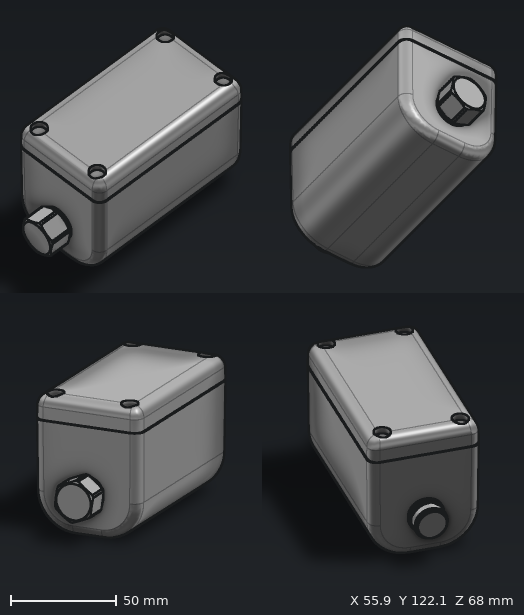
import cadquery as cq
import math

overall_length = 122.1
width = 55.9
length = 98.0
height = 68.0
seam_height = 55.4
body_draft = 0.6
lid_draft = 1.0
belly_radius = 20.0
corner_radius = 5.0
top_edge_radius = 6.0
seam_groove = 0.2
seam_groove_depth = 0.2

recess_diameter = 8.2
recess_depth = 3.5
recess_x = 19.5
recess_y = 42.1

fitting_height = 22.0
front_reach = 14.2
back_reach = overall_length - length - front_reach
collar_radius = 8.9
embed = 2.5

nut_length = 13.1
nut_across_flats = 19.0
nut_corner_radius = 10.6
nut_face_radius = 9.0
nut_chamfer = 0.7
nut_back_chamfer = 1.1
nut_turn = 8.0
gland_collar_length = 0.4
gland_neck_radius = 8.5

plug_collar_length = 1.3
plug_collar_chamfer = 0.4
plug_neck_radius = 7.6
plug_ring_radius = 8.3
plug_ring_start = 2.5
plug_ring_end = 8.8
plug_ring_chamfer = 0.6
plug_tip_chamfer = 0.4


def inset(rise, draft):
    """Sideways shift of a drafted wall over a given rise."""
    return rise * math.tan(math.radians(draft))


def make_body():
    """U-shaped lower housing with drafted walls and rounded ends."""
    half_width = width / 2
    arc_half_width = half_width - inset(seam_height - belly_radius, body_draft)
    flat_half_width = arc_half_width - belly_radius
    diagonal = belly_radius * math.sqrt(0.5)
    section = (
        cq.Workplane("XZ")
        .moveTo(-half_width, seam_height)
        .lineTo(-arc_half_width, belly_radius)
        .threePointArc((-flat_half_width - diagonal, belly_radius - diagonal), (-flat_half_width, 0))
        .lineTo(flat_half_width, 0)
        .threePointArc((flat_half_width + diagonal, belly_radius - diagonal), (arc_half_width, belly_radius))
        .lineTo(half_width, seam_height)
        .close()
        .extrude(length, both=True)
    )
    half_length = length / 2
    base_half_length = half_length - inset(seam_height, body_draft)
    side = (
        cq.Workplane("YZ")
        .polyline([
            (-half_length, seam_height),
            (-base_half_length, 0),
            (base_half_length, 0),
            (half_length, seam_height),
        ])
        .close()
        .extrude(width, both=True)
    )
    body = section.intersect(side)
    end_edges = body.faces("<Y or >Y").edges().edges("not(>Z)")
    return body.newObject(end_edges.vals()).fillet(corner_radius)


def make_lid():
    """Drafted cover with rounded corners and a rounded top edge."""
    return (
        cq.Workplane("XY")
        .workplane(offset=seam_height)
        .sketch()
        .rect(width, length)
        .vertices()
        .fillet(corner_radius)
        .finalize()
        .extrude(height - seam_height, taper=lid_draft)
        .faces(">Z")
        .edges()
        .fillet(top_edge_radius)
    )


def make_seam_cutter():
    """Thin frame that grooves the outside of the seam."""
    core = (
        cq.Workplane("XY")
        .box(width - 2 * seam_groove_depth, length - 2 * seam_groove_depth, seam_groove)
        .edges("|Z")
        .fillet(corner_radius - seam_groove_depth)
    )
    frame = cq.Workplane("XY").box(2 * width, 2 * length, seam_groove).cut(core)
    return frame.translate((0, 0, seam_height))


def make_recesses():
    """Cylinders for the four screw recesses."""
    return (
        cq.Workplane("XY")
        .workplane(offset=height - recess_depth)
        .rect(2 * recess_x, 2 * recess_y, forConstruction=True)
        .vertices()
        .circle(recess_diameter / 2)
        .extrude(2 * recess_depth)
    )


def turn_profile(points):
    """Revolve (radius, distance) points about the Y axis, distance along +Y."""
    start = points[0][1]
    end = points[-1][1]
    outline = [(0, start)] + points + [(0, end)]
    return cq.Workplane("XY").polyline(outline).close().revolve(360, (0, 0), (0, 1))


def make_gland():
    """Collar and turned-down hexagonal nut, pointing along +Y from the body end."""
    nut_start = front_reach - nut_length
    collar = turn_profile([
        (collar_radius, -embed),
        (collar_radius, gland_collar_length),
        (gland_neck_radius, nut_start),
        (gland_neck_radius, nut_start + nut_back_chamfer),
    ])
    envelope = turn_profile([
        (nut_face_radius, nut_start),
        (nut_corner_radius, nut_start + nut_back_chamfer),
        (nut_corner_radius, front_reach - nut_chamfer),
        (nut_face_radius, front_reach),
    ])
    half_sector = 30
    across_corners = nut_across_flats / math.cos(math.radians(half_sector))
    hexagon = (
        cq.Workplane("XZ")
        .polygon(6, across_corners)
        .extrude(-front_reach)
        .rotate((0, 0, 0), (0, 1, 0), half_sector - nut_turn)
    )
    return collar.union(hexagon.intersect(envelope))


def make_plug():
    """Collar, neck and ring, pointing along +Y from the body end."""
    return turn_profile([
        (collar_radius, -embed),
        (collar_radius, plug_collar_length - plug_collar_chamfer),
        (collar_radius - plug_collar_chamfer, plug_collar_length),
        (plug_neck_radius, plug_collar_length),
        (plug_neck_radius, plug_ring_start),
        (plug_ring_radius, plug_ring_start + plug_ring_chamfer),
        (plug_ring_radius, plug_ring_end - plug_ring_chamfer),
        (plug_neck_radius, plug_ring_end),
        (plug_neck_radius, back_reach - plug_tip_chamfer),
        (plug_neck_radius - plug_tip_chamfer, back_reach),
    ])


enclosure = make_body().union(make_lid()).cut(make_seam_cutter()).cut(make_recesses())
gland = make_gland().rotate((0, 0, 0), (0, 0, 1), 180).translate((0, -length / 2, fitting_height))
plug = make_plug().translate((0, length / 2, fitting_height))
result = enclosure.union(gland).union(plug)